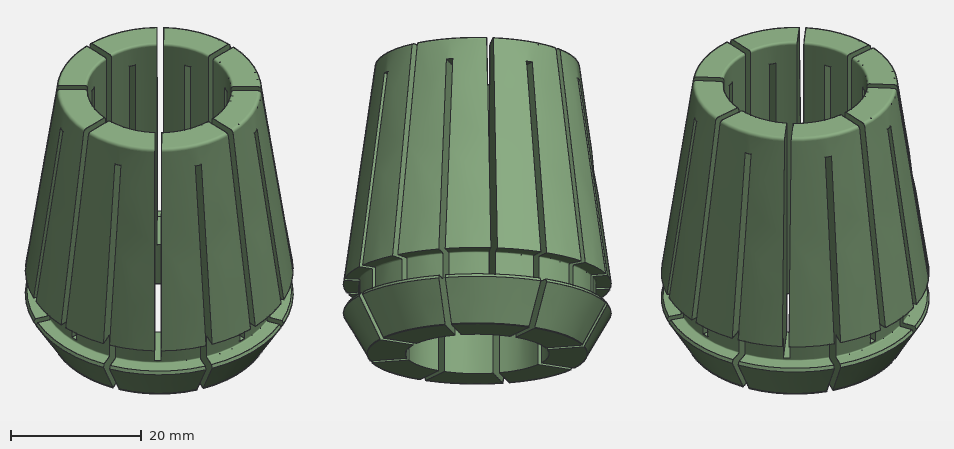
import cadquery as cq
import math

height = 46.0
max_diameter = 41.0
max_radius = max_diameter / 2

nose_face_radius = 16.85
nose_land_height = 0.15
rim_z = 6.5
nose_top_z = 7.0
rim_bevel = 0.28

groove_radius = 18.15
groove_top_z = 11.1
groove_fillet = 0.2

taper_angle = 8.0
taper_height = height - groove_top_z
taper_top_radius = max_radius - taper_height * math.tan(math.radians(taper_angle))
top_edge_fillet = 0.55

bore_radius = 11.0
mouth_fillet = 0.4

slots_per_end = 8
slot_width = 1.0
nose_slot_top_z = 42.5
taper_slot_bottom_z = 7.5
slot_pitch = 360.0 / slots_per_end
slot_overrun = 0.45
slot_length = max_radius + slot_overrun


def collet_blank():
    """Revolved body with its bore, groove and rounded top edges, before slotting."""
    profile = (
        cq.Workplane("XZ")
        .moveTo(bore_radius, 0)
        .lineTo(nose_face_radius, 0)
        .lineTo(nose_face_radius, nose_land_height)
        .lineTo(max_radius, rim_z)
        .lineTo(max_radius - rim_bevel, nose_top_z)
        .lineTo(groove_radius + groove_fillet, nose_top_z)
        .radiusArc((groove_radius, nose_top_z + groove_fillet), groove_fillet)
        .lineTo(groove_radius, groove_top_z - groove_fillet)
        .radiusArc((groove_radius + groove_fillet, groove_top_z), groove_fillet)
        .lineTo(max_radius, groove_top_z)
        .lineTo(taper_top_radius, height)
        .lineTo(bore_radius, height)
        .close()
    )
    body = profile.revolve(360, (0, 0), (0, 1))
    outer_edge = cq.selectors.RadiusNthSelector(-1)
    inner_edge = cq.selectors.RadiusNthSelector(0)
    body = body.faces(">Z").edges(outer_edge).fillet(top_edge_fillet)
    return body.faces(">Z").edges(inner_edge).fillet(mouth_fillet)


def radial_slots(bottom_z, top_z, start_angle):
    """One set of evenly spaced slots running from the axis out past the rim."""
    slots = cq.Workplane("XY")
    for index in range(slots_per_end):
        slot = (
            cq.Workplane("XY", origin=(slot_length / 2, 0, bottom_z))
            .rect(slot_length, slot_width)
            .extrude(top_z - bottom_z)
            .rotate((0, 0, 0), (0, 0, 1), start_angle + index * slot_pitch)
        )
        slots = slots.add(slot)
    return slots.combine()


nose_slots = radial_slots(0, nose_slot_top_z, 0)
taper_slots = radial_slots(taper_slot_bottom_z, height, slot_pitch / 2)

result = collet_blank().cut(nose_slots).cut(taper_slots)